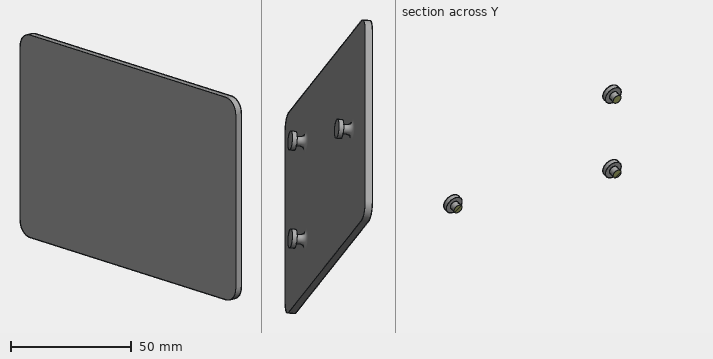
import cadquery as cq

plate_width = 136.5
plate_height = 87.2
plate_thickness = 3.1
corner_radius = 6.3

total_depth = 9.7
pin_length = total_depth - plate_thickness
head_radius = 4.0
head_thickness = 2.0
stem_radius = 1.98
root_fillet = 2.5

left_pin_x = -46.0
right_pin_x = 33.3
left_pin_z = 1.1
upper_pin_z = 21.6
lower_pin_z = -21.2
pin_centres = [
    (left_pin_x, left_pin_z),
    (right_pin_x, upper_pin_z),
    (right_pin_x, lower_pin_z),
]


def make_plate():
    """Plate centred on X and Z, with its back face at Y = 0."""
    return (
        cq.Workplane("XY")
        .box(plate_width, plate_thickness, plate_height)
        .edges("|Y")
        .fillet(corner_radius)
        .translate((0, -plate_thickness / 2, 0))
    )


def make_pin():
    """Pin revolved about Y, with a concave flare where it meets the plate."""
    head_start = pin_length - head_thickness
    flare_radius = stem_radius + root_fillet
    root_depth = plate_thickness / 2
    return (
        cq.Workplane("XY")
        .moveTo(0, -root_depth)
        .lineTo(flare_radius, -root_depth)
        .lineTo(flare_radius, 0)
        .radiusArc((stem_radius, root_fillet), root_fillet)
        .lineTo(stem_radius, head_start)
        .lineTo(head_radius, head_start)
        .lineTo(head_radius, pin_length)
        .lineTo(0, pin_length)
        .close()
        .revolve(360, (0, 0, 0), (0, 1, 0))
    )


result = make_plate()
for x, z in pin_centres:
    result = result.union(make_pin().translate((x, 0, z)))

result = result.translate((0, plate_thickness - total_depth / 2, 0))